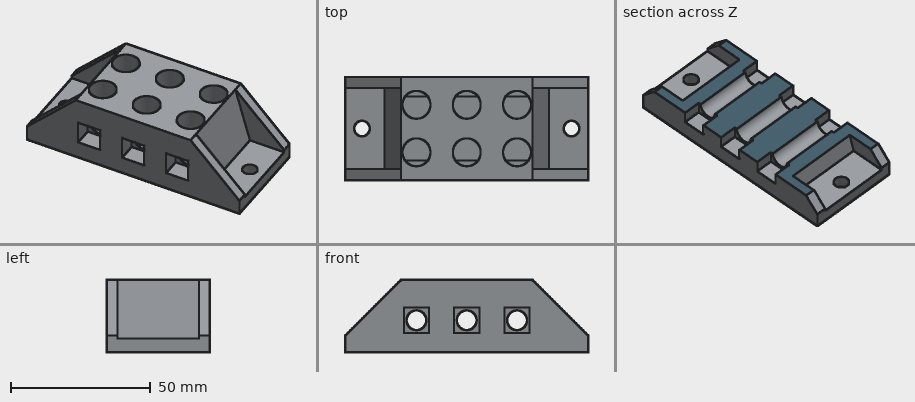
import cadquery as cq

LENGTH = 87.0
WIDTH = 37.0
HEIGHT = 26.0
END_HEIGHT = 6.0
SLOPE_RUN = HEIGHT - END_HEIGHT
TOP_LENGTH = LENGTH - 2 * SLOPE_RUN

SIDE_WALL = 4.0
RECESS_WIDTH = WIDTH - 2 * SIDE_WALL
RECESS_FLOOR = 5.0
RECESS_FLOOR_LENGTH = 14.0
MOUNT_HOLE_DIAMETER = 5.5
MOUNT_HOLE_INSET = 6.0

STATION_COUNT = 3
STATION_PITCH = 18.0
POCKET_SIZE = 9.0
POCKET_DEPTH = 7.0
POCKET_BOTTOM = 7.0
BORE_DIAMETER = 7.0
BORE_HEIGHT = POCKET_BOTTOM + POCKET_SIZE / 2
TOP_HOLE_DIAMETER = 10.0
TOP_HOLE_SPACING = 17.0
TOP_HOLE_DEPTH = HEIGHT - POCKET_BOTTOM - POCKET_SIZE


def make_body():
    half_length = LENGTH / 2
    half_top = TOP_LENGTH / 2
    outline = [
        (-half_length, 0),
        (half_length, 0),
        (half_length, END_HEIGHT),
        (half_top, HEIGHT),
        (-half_top, HEIGHT),
        (-half_length, END_HEIGHT),
    ]
    return cq.Workplane("XZ").polyline(outline).close().extrude(WIDTH / 2, both=True)


def make_end_cut(side):
    """Recess and vertical mounting hole at one end; side is -1 or +1 along X."""
    end_x = side * LENGTH / 2
    outline = [
        (end_x, RECESS_FLOOR),
        (end_x - side * RECESS_FLOOR_LENGTH, RECESS_FLOOR),
        (side * TOP_LENGTH / 2, HEIGHT),
        (end_x, HEIGHT),
    ]
    recess = cq.Workplane("XZ").polyline(outline).close().extrude(RECESS_WIDTH / 2, both=True)
    hole = (
        cq.Workplane("XY")
        .center(end_x - side * MOUNT_HOLE_INSET, 0)
        .circle(MOUNT_HOLE_DIAMETER / 2)
        .extrude(HEIGHT)
    )
    return recess.union(hole)


def make_cross_bore(x):
    return (
        cq.Workplane("XZ")
        .center(x, BORE_HEIGHT)
        .circle(BORE_DIAMETER / 2)
        .extrude(WIDTH / 2, both=True)
    )


def make_square_pocket(x, side):
    """Blind square pocket entering from the -Y (side = -1) or +Y (side = +1) face."""
    centre_y = side * (WIDTH - POCKET_DEPTH) / 2
    pocket = cq.Workplane("XY").box(POCKET_SIZE, POCKET_DEPTH, POCKET_SIZE)
    return pocket.translate((x, centre_y, BORE_HEIGHT))


def make_top_hole(x, side):
    return (
        cq.Workplane("XY")
        .workplane(offset=HEIGHT - TOP_HOLE_DEPTH)
        .center(x, side * TOP_HOLE_SPACING / 2)
        .circle(TOP_HOLE_DIAMETER / 2)
        .extrude(TOP_HOLE_DEPTH)
    )


result = make_body()

for end_side in (-1, 1):
    result = result.cut(make_end_cut(end_side))

for station in range(STATION_COUNT):
    station_x = (station - (STATION_COUNT - 1) / 2) * STATION_PITCH
    result = result.cut(make_cross_bore(station_x))
    for y_side in (-1, 1):
        result = result.cut(make_square_pocket(station_x, y_side))
        result = result.cut(make_top_hole(station_x, y_side))